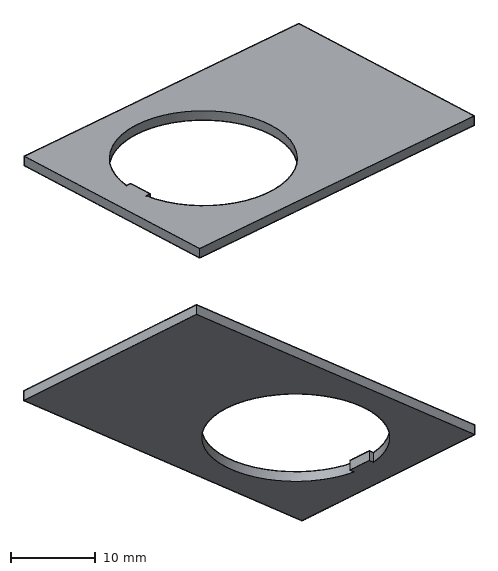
import cadquery as cq

plate_width = 30.0
plate_length = 45.0
plate_thickness = 1.3

hole_diameter = 22.25
hole_offset_y = -7.5

key_width = 3.38
key_face_distance = 10.3


def make_plate():
    return cq.Workplane("XY").box(plate_width, plate_length, plate_thickness)


def make_keyed_opening():
    """Round cutter with the key's material left out of it."""
    hole_radius = hole_diameter / 2
    cutter = cq.Workplane("XY").cylinder(plate_thickness, hole_radius)
    key = (
        cq.Workplane("XY")
        .box(key_width, hole_radius, plate_thickness)
        .translate((0, -key_face_distance - hole_radius / 2, 0))
    )
    return cutter.cut(key).translate((0, hole_offset_y, 0))


result = make_plate().cut(make_keyed_opening())